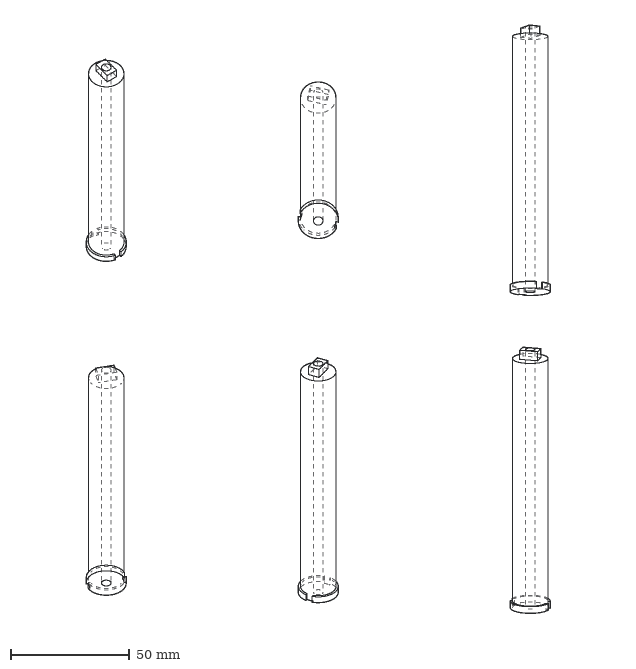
import cadquery as cq

total_height = 114.0
shaft_diameter = 15.0
flange_diameter = 17.0
flange_height = 3.0
notch_width = 3.0
tenon_length = 8.0
tenon_width = 5.0
tenon_height = 4.0
bore_diameter = 4.0

shaft_height = total_height - tenon_height


def cylinder(diameter, height):
    """Upright cylinder standing on the base plane."""
    return cq.Workplane("XY").circle(diameter / 2).extrude(height)


def notched_flange():
    """Base ring with two opposite notches that reach in to the shaft surface."""
    ring = cylinder(flange_diameter, flange_height)
    notch_bar = cq.Workplane("XY").rect(flange_diameter, notch_width).extrude(flange_height)
    return ring.cut(notch_bar)


def tenon():
    """Rectangular drive tenon on top of the shaft."""
    base = cq.Workplane("XY").workplane(offset=shaft_height)
    return base.rect(tenon_length, tenon_width).extrude(tenon_height)


shaft = cylinder(shaft_diameter, shaft_height)
bore = cylinder(bore_diameter, total_height)
result = shaft.union(notched_flange()).union(tenon()).cut(bore)